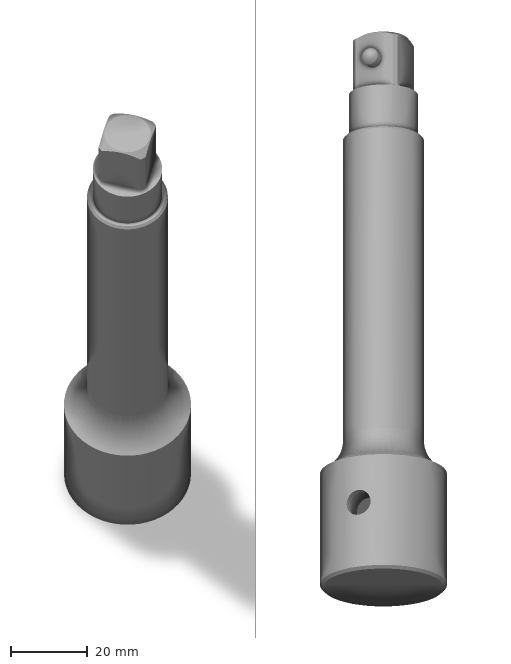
import cadquery as cq
import math

TOTAL_LENGTH = 150.3

SOCKET_RADIUS = 16.5
SOCKET_HEIGHT = 31.1
END_CHAMFER = 0.8
SHAFT_RADIUS = 10.5
SHAFT_CHAMFER = 0.6
FLARE_RADIUS = 10.0
NECK_RADIUS = 9.0
NECK_LENGTH = 11.7

SQUARE_SIDE = 12.6
SQUARE_LENGTH = 15.5
SQUARE_EDGE_CHAMFER = 1.0
SQUARE_ROOT_FILLET = 0.9
TIP_FLAT_RADIUS = 6.0
TIP_SLOPE = math.radians(30)

SIDE_HOLE_DIAMETER = 6.8
SIDE_HOLE_DEPTH = 7.0
SIDE_HOLE_Z = 18.3

PIN_RADIUS = 2.3
PIN_REACH = 10.4
PIN_DOME_HEIGHT = 1.4
PIN_BELOW_TOP = 7.5

NECK_TOP = TOTAL_LENGTH - SQUARE_LENGTH
SHAFT_TOP = NECK_TOP - NECK_LENGTH
PIN_Z = TOTAL_LENGTH - PIN_BELOW_TOP
PIN_SHOULDER = PIN_REACH - PIN_DOME_HEIGHT


def make_round_body():
    """Turned socket end, concave flare, shaft and neck."""
    arc_center_r = SHAFT_RADIUS + FLARE_RADIUS
    flare_height = math.sqrt(FLARE_RADIUS**2 - (arc_center_r - SOCKET_RADIUS) ** 2)
    flare_top = SOCKET_HEIGHT + flare_height
    half_angle = math.asin(flare_height / FLARE_RADIUS) / 2
    flare_middle = (
        arc_center_r - FLARE_RADIUS * math.cos(half_angle),
        flare_top - FLARE_RADIUS * math.sin(half_angle),
    )
    return (
        cq.Workplane("XZ")
        .moveTo(0, 0)
        .lineTo(SOCKET_RADIUS - END_CHAMFER, 0)
        .lineTo(SOCKET_RADIUS, END_CHAMFER)
        .lineTo(SOCKET_RADIUS, SOCKET_HEIGHT)
        .threePointArc(flare_middle, (SHAFT_RADIUS, flare_top))
        .lineTo(SHAFT_RADIUS, SHAFT_TOP - SHAFT_CHAMFER)
        .lineTo(SHAFT_RADIUS - SHAFT_CHAMFER, SHAFT_TOP)
        .lineTo(NECK_RADIUS, SHAFT_TOP)
        .lineTo(NECK_RADIUS, NECK_TOP)
        .lineTo(0, NECK_TOP)
        .close()
        .revolve(360, (0, 0, 0), (0, 1, 0))
    )


def make_tip_envelope():
    """Cylinder with a conical top that bevels the corners of the square."""
    bevel_drop = (NECK_RADIUS - TIP_FLAT_RADIUS) * math.tan(TIP_SLOPE)
    return (
        cq.Workplane("XZ")
        .moveTo(0, NECK_TOP)
        .lineTo(NECK_RADIUS, NECK_TOP)
        .lineTo(NECK_RADIUS, TOTAL_LENGTH - bevel_drop)
        .lineTo(TIP_FLAT_RADIUS, TOTAL_LENGTH)
        .lineTo(0, TOTAL_LENGTH)
        .close()
        .revolve(360, (0, 0, 0), (0, 1, 0))
    )


def make_square_drive():
    """Chamfered square with a filleted root, kept within the neck and the bevelled tip."""
    square = (
        cq.Workplane("XY", origin=(0, 0, NECK_TOP))
        .rect(SQUARE_SIDE, SQUARE_SIDE)
        .extrude(SQUARE_LENGTH)
        .edges("|Z")
        .chamfer(SQUARE_EDGE_CHAMFER)
    )
    base = cq.Workplane("XY", origin=(0, 0, SHAFT_TOP)).circle(SHAFT_RADIUS).extrude(NECK_LENGTH)
    root_edges = cq.selectors.BoxSelector(
        (-SQUARE_SIDE, -SQUARE_SIDE, NECK_TOP - SQUARE_ROOT_FILLET),
        (SQUARE_SIDE, SQUARE_SIDE, NECK_TOP + SQUARE_ROOT_FILLET),
    )
    drive = base.union(square).edges(root_edges).edges("%LINE").fillet(SQUARE_ROOT_FILLET)
    return drive.intersect(make_tip_envelope())


def make_side_hole():
    """Blind radial hole, bored inwards from the +Y side of the socket."""
    return (
        cq.Workplane("XZ", origin=(0, SOCKET_RADIUS, SIDE_HOLE_Z))
        .circle(SIDE_HOLE_DIAMETER / 2)
        .extrude(SIDE_HOLE_DEPTH)
    )


def make_pin():
    """Round pin along +Y with a spherical dome on its outer end."""
    dome_radius = (PIN_RADIUS**2 + PIN_DOME_HEIGHT**2) / (2 * PIN_DOME_HEIGHT)
    half_angle = math.asin(PIN_RADIUS / dome_radius) / 2
    dome_middle = (
        dome_radius * math.sin(half_angle),
        PIN_REACH - dome_radius * (1 - math.cos(half_angle)),
    )
    return (
        cq.Workplane("XY", origin=(0, 0, PIN_Z))
        .moveTo(0, 0)
        .lineTo(PIN_RADIUS, 0)
        .lineTo(PIN_RADIUS, PIN_SHOULDER)
        .threePointArc(dome_middle, (0, PIN_REACH))
        .close()
        .revolve(360, (0, 0, 0), (0, 1, 0))
    )


pin = make_pin()
adapter = make_round_body().union(make_square_drive())
adapter = adapter.cut(make_side_hole()).cut(pin)

result = cq.Compound.makeCompound([adapter.val(), pin.val()])